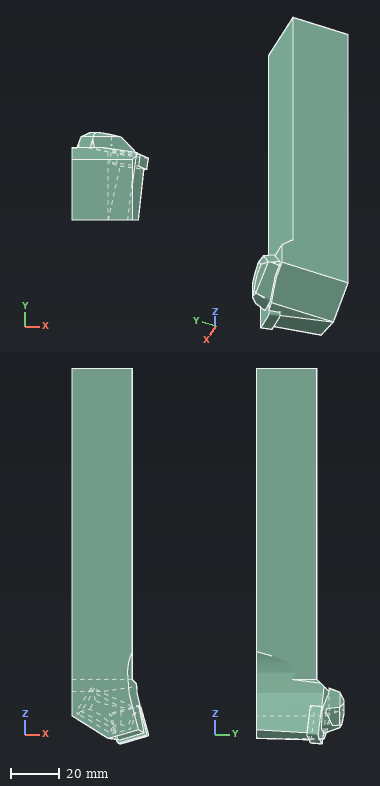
import cadquery as cq
import math

total_length = 155.5
shank = 25.0
head_rear = 30.0
flare_start = 26.7
flare_size = 7.8
head_width = shank + flare_size

relief_angle = 5.0
wall_relief_angle = 7.0
corner_x = 27.5
corner_z = 5.9
edge_angle = 16.0
wall_x = 24.7
wall_z = 16.6
scallop_x = 23.0
scallop_z = 29.5
scallop_foot_x = 23.6
scallop_foot_z = 21.0
scallop_top_z = 38.2
scallop_bulge = 0.5
margin = 15.5
rake_span = 93.3

heel_z = 11.7
knee_x, knee_z = 14.9, 2.3
toe_x, toe_z = 19.7, 1.7

insert_side = 12.9
insert_thickness = 4.8
nose_radius = 0.8
insert_corner = cq.Vector(31.9, 25.5, 3.4)
insert_edge = cq.Vector(-7.5, 1.0, -2.2)
insert_normal = cq.Vector(0.16, 1.0, -0.08)

clamp_base = 26.7
clamp_top = 36.2
clamp_draft = 20.0
shoulder_draft = 55.0
shoulder_offset = 8.2
clamp_corner = 2.5
clamp_foot = [(-0.2, 12.5), (16.2, 3.7), (24.5, 6.2), (27.0, 14.8), (7.8, 25.2)]
crown_start = (11.2, clamp_top)
crown_mid = (15.9, 35.5)
crown_end = (20.4, 34.4)
nose_x, nose_y = 27.0, 27.5


def xz_plane(y):
    """Plane at depth y whose local axes are X and Z; its normal points to -Y."""
    return cq.Workplane("XZ", origin=(0, y, 0))


def underside_prism():
    """Full-depth prism above the sloping underside."""
    outline = [(0, heel_z), (knee_x, knee_z), (toe_x, toe_z), (toe_x + margin, toe_z),
               (toe_x + margin, total_length), (0, total_length)]
    return xz_plane(0).polyline(outline).close().extrude(-(clamp_top + margin))


def flank_wire(y):
    """Outline of the relieved flanks at depth y."""
    relief = y * math.tan(math.radians(relief_angle))
    wall_relief = y * math.tan(math.radians(wall_relief_angle))
    slope = math.radians(edge_angle)
    corner = (corner_x + relief * (math.cos(slope) + math.sin(slope)),
              corner_z - relief * (math.cos(slope) - math.sin(slope)))
    left = -margin
    left_z = corner[1] - (corner[0] - left) * math.tan(slope)
    scallop_mid = (scallop_x + scallop_bulge + wall_relief, (scallop_z + scallop_top_z) / 2)
    top_x = shank + wall_relief
    return (
        xz_plane(y).moveTo(left, left_z).lineTo(*corner)
        .lineTo(wall_x + wall_relief, wall_z)
        .lineTo(scallop_foot_x + wall_relief, scallop_foot_z)
        .lineTo(scallop_x + wall_relief, scallop_z)
        .threePointArc(scallop_mid, (top_x, scallop_top_z))
        .lineTo(top_x, total_length).lineTo(left, total_length).close().wire().val()
    )


def insert_plane():
    return cq.Plane(origin=insert_corner, xDir=insert_edge, normal=insert_normal)


def make_insert():
    half = insert_side / 2
    return (
        cq.Workplane(insert_plane()).center(half, half).rect(insert_side, insert_side)
        .extrude(-insert_thickness)
        .edges(cq.selectors.ParallelDirSelector(insert_normal)).fillet(nose_radius)
    )


def above_rake():
    """Space beyond the rake plane, which is the insert's top plane extended."""
    return cq.Workplane(insert_plane()).rect(rake_span, rake_span).extrude(margin)


def make_head():
    shaft = cq.Workplane("XY").rect(shank, shank, centered=False).extrude(total_length)
    flare_foot = flare_start - flare_size
    flare = (
        cq.Workplane("XY", origin=(0, 0, flare_foot)).rect(head_width, head_width, centered=False)
        .workplane(offset=flare_size).rect(shank, shank, centered=False).loft(ruled=True)
    )
    block = cq.Workplane("XY").rect(head_width, head_width, centered=False).extrude(flare_foot)
    flanks = cq.Workplane(cq.Solid.makeLoft([flank_wire(0), flank_wire(head_rear)], True))
    blank = shaft.union(flare).union(block)
    return blank.intersect(flanks).intersect(underside_prism()).cut(above_rake())


def drafted_foot(growth, draft):
    """Clamp foot with rounded corners, regrown by growth and raised with the given draft."""
    return (
        xz_plane(clamp_base).polyline(clamp_foot).close().offset2D(-clamp_corner).offset2D(growth)
        .extrude(-(clamp_top - clamp_base), taper=draft)
    )


def make_clamp():
    """Drafted clamp with a bevelled shoulder and a crown falling towards the insert."""
    body = drafted_foot(clamp_corner, clamp_draft)
    shoulder = drafted_foot(clamp_corner + shoulder_offset, shoulder_draft)
    crown = (
        cq.Workplane("XY").moveTo(0, clamp_base).lineTo(0, clamp_top).lineTo(*crown_start)
        .threePointArc(crown_mid, crown_end).lineTo(nose_x, nose_y).lineTo(nose_x, clamp_base)
        .close().extrude(head_width)
    )
    seat = (
        cq.Workplane("XY").rect(head_width, head_rear, centered=False).extrude(head_width)
        .cut(above_rake())
    )
    return body.intersect(shoulder).intersect(crown).intersect(underside_prism()).cut(seat)


insert = make_insert()
holder = make_head().union(make_clamp()).cut(insert)
result = cq.Compound.makeCompound([holder.val(), insert.val()])